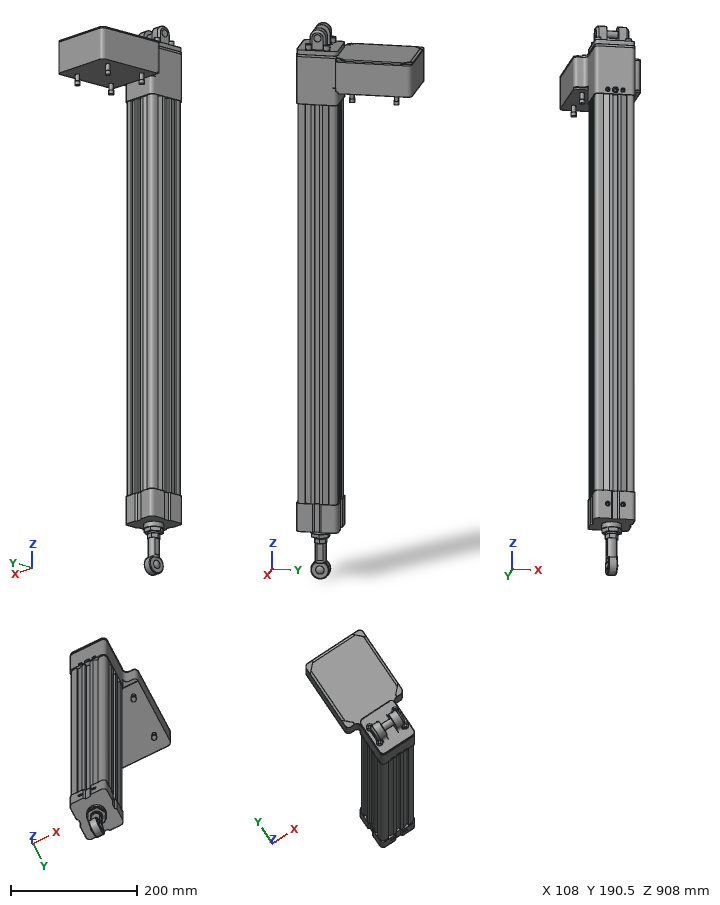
import cadquery as cq
import math


TOTAL_HEIGHT = 908.0
COVER_TOP = 869.0
COVER_BOTTOM = 866.0
HEAD_BOTTOM = 787.5
BOX_BOTTOM = 814.0
CAP_TOP = 130.0
CAP_BOTTOM = 84.0

TUBE_WIDTH = 64.0
HEAD_WIDTH_X = 65.0
HEAD_WIDTH_Y = 67.0
CORNER_RADIUS = 6.8

SLOT_WIDTH = 8.0
SLOT_DEPTH = 4.5
GROOVE_INNER = 9.5
GROOVE_OUTER = 19.0
GROOVE_DEPTH = 4.0

BOX_WIDTH = 108.0
BOX_FRONT = HEAD_WIDTH_Y / 2
BOX_BACK = 157.0
NECK_RADIUS = 7.7
FRONT_RELIEF = 5.0
RELIEF_HEIGHT = 3.0

RIM_INSET = 4.1
RIM_HEIGHT = 1.4
CORNER_SEAT = 17.0

HEAD_HOLE_Z = 795.0
HEAD_HOLE_DIAMETER = 9.0
HEAD_HOLE_BORE = 5.1
SIDE_HOLE_DIAMETER = 6.5
SIDE_HOLE_BORE = 4.2
SIDE_HOLE_X = 12.3
CAP_HOLE_Z = 108.0
CAP_HOLE_DIAMETER = 7.2
CAP_HOLE_BORE = 4.2
RECESS_DEPTH = 3.0
HOLE_DEPTH = 5.0

SCREW_X = 36.0
SCREW_FRONT_Y = 58.0
SCREW_BACK_Y = 130.0
SCREW_DIAMETER = 7.2
SCREW_HEAD_DIAMETER = 8.5
SCREW_HEAD_HEIGHT = 6.0
SCREW_REACH = 17.0
SCREW_ENGAGEMENT = 9.0

PLATE_TOP = 876.5
PLATE_INSET = 0.45
LUG_RADIUS = 13.0
LUG_INNER_X = 9.5
LUG_OUTER_X = 26.0
LUG_CHAMFER = 4.0
LUG_FOOT_RADIUS = 4.5
LUG_FOOT_END_X = 18.0
PIN_DIAMETER = 12.0
PIN_Z = TOTAL_HEIGHT - LUG_RADIUS
BOLT_X = 24.5
BOLT_Y = 14.5
BOLT_HEAD_DIAMETER = 10.0
BOLT_HEAD_HEIGHT = 8.0
BOLT_SOCKET_DIAMETER = 5.0
BOLT_SOCKET_DEPTH = 4.0

CAP_SLOT_MOUTH = 14.0
CAP_SLOT_FLOOR = 8.0
CAP_SLOT_DEPTH = 3.0
NOSE_DIAMETER = 32.0
NOSE_BOTTOM = 75.0
GLAND_BOTTOM = 69.0
GLAND_FLATS = 27.0

ROD_DIAMETER = 20.0
NUT_TOP = 66.0
NUT_BOTTOM = 59.0
NUT_FLATS = 18.0
SHANK_DIAMETER = 18.0
SHANK_BOTTOM = 26.0
SHANK_FLATS = 15.0
FLATS_BOTTOM = 31.0
FLATS_TOP = 58.0
EYE_RADIUS = 15.0
EYE_THICKNESS = 14.5
EYE_CHAMFER = 1.4
BALL_RADIUS = 10.0


def rounded_block(width_x, width_y, bottom, top):
    """Block on the axis with rounded upright corners."""
    block = cq.Workplane("XY").workplane(offset=bottom).rect(width_x, width_y).extrude(top - bottom)
    return block.edges("|Z").fillet(CORNER_RADIUS)


def cylinder(diameter, bottom, top, x=0.0, y=0.0):
    """Upright cylinder between two heights."""
    return cq.Workplane("XY", origin=(x, y, bottom)).circle(diameter / 2).extrude(top - bottom)


def hexagon(flats, bottom, top):
    """Upright hexagonal prism on the axis, two of its flats facing front and back."""
    across_corners = flats / math.cos(math.pi / 6)
    return cq.Workplane("XY").workplane(offset=bottom).polygon(6, across_corners).extrude(top - bottom)


def front_holes(diameter, bore, face_y, z, x_places):
    """Cutters for stepped blind holes in a front face: a wide recess with a narrower bore."""
    places = [(x, 0) for x in x_places]
    recess_end = cq.Workplane("XZ", origin=(0, face_y + RECESS_DEPTH, z))
    bore_end = cq.Workplane("XZ", origin=(0, face_y + HOLE_DEPTH, z))
    recesses = recess_end.pushPoints(places).circle(diameter / 2).extrude(RECESS_DEPTH)
    return recesses.union(bore_end.pushPoints(places).circle(bore / 2).extrude(HOLE_DEPTH))


def on_four_sides(body, cutter):
    """Cut the same shape from the front, the back and both sides."""
    for quarter in range(4):
        body = body.cut(cutter.rotate((0, 0, 0), (0, 0, 1), 90 * quarter))
    return body


def make_tube():
    """Extruded profile with one square slot and two sloping grooves on each side."""
    tube = rounded_block(TUBE_WIDTH, TUBE_WIDTH, CAP_TOP, HEAD_BOTTOM)
    face = -TUBE_WIDTH / 2
    length = HEAD_BOTTOM - CAP_TOP
    start = cq.Workplane("XY").workplane(offset=CAP_TOP)
    slot = start.center(0, face).rect(SLOT_WIDTH, 2 * SLOT_DEPTH).extrude(length)
    tube = on_four_sides(tube, slot)
    for side in (-1, 1):
        groove = start.polyline([
            (side * GROOVE_INNER, face),
            (side * GROOVE_OUTER, face),
            (side * GROOVE_OUTER, face + GROOVE_DEPTH),
        ]).close().extrude(length)
        tube = on_four_sides(tube, groove)
    return tube


def box_block(bottom, top):
    """Block with the outline of the belt box."""
    box_length = BOX_BACK - BOX_FRONT
    return (
        cq.Workplane("XY", origin=(0, BOX_FRONT + box_length / 2, bottom))
        .rect(BOX_WIDTH, box_length).extrude(top - bottom)
        .edges("|Z").fillet(CORNER_RADIUS)
    )


def neck_block(bottom, top):
    """Neck with concave sides that blends the belt box into the head."""
    wall_x = HEAD_WIDTH_X / 2
    flare_x = wall_x + NECK_RADIUS
    neck_y = BOX_FRONT - NECK_RADIUS
    return (
        cq.Workplane("XY", origin=(0, 0, bottom))
        .moveTo(-flare_x, BOX_FRONT + FRONT_RELIEF)
        .lineTo(-flare_x, BOX_FRONT)
        .radiusArc((-wall_x, neck_y), NECK_RADIUS)
        .lineTo(wall_x, neck_y)
        .radiusArc((flare_x, BOX_FRONT), NECK_RADIUS)
        .lineTo(flare_x, BOX_FRONT + FRONT_RELIEF)
        .close().extrude(top - bottom)
    )


def make_housing():
    """Tube head and belt box in one piece, below the cover."""
    relief_top = BOX_BOTTOM + RELIEF_HEIGHT
    box = box_block(BOX_BOTTOM, COVER_BOTTOM)
    relief = cq.Workplane("XY").box(BOX_WIDTH, FRONT_RELIEF, RELIEF_HEIGHT, centered=(True, False, False))
    box = box.cut(relief.translate((0, BOX_FRONT, BOX_BOTTOM)))
    housing = box.union(neck_block(relief_top, COVER_BOTTOM))
    housing = housing.union(rounded_block(HEAD_WIDTH_X, HEAD_WIDTH_Y, HEAD_BOTTOM, COVER_BOTTOM))

    face_y = -HEAD_WIDTH_Y / 2
    side_places = [-SIDE_HOLE_X, SIDE_HOLE_X]
    housing = housing.cut(front_holes(HEAD_HOLE_DIAMETER, HEAD_HOLE_BORE, face_y, HEAD_HOLE_Z, [0]))
    housing = housing.cut(
        front_holes(SIDE_HOLE_DIAMETER, SIDE_HOLE_BORE, face_y, HEAD_HOLE_Z, side_places)
    )
    for screw in screws:
        housing = housing.cut(screw)
    return housing


def make_motor_screw(x, y):
    """Cap screw hanging from the underside of the belt box, head down."""
    head_bottom = BOX_BOTTOM - SCREW_REACH
    head_top = head_bottom + SCREW_HEAD_HEIGHT
    shaft = cylinder(SCREW_DIAMETER, head_top, BOX_BOTTOM + SCREW_ENGAGEMENT, x, y)
    return shaft.union(cylinder(SCREW_HEAD_DIAMETER, head_bottom, head_top, x, y))


def make_lug():
    """Right-hand clevis lug: round top, flared foot, bevelled outer rim."""
    thickness = LUG_OUTER_X - LUG_INNER_X
    lug = (
        cq.Workplane("YZ", origin=(LUG_INNER_X, 0, 0))
        .moveTo(-LUG_RADIUS, PLATE_TOP)
        .lineTo(-LUG_RADIUS, PIN_Z)
        .threePointArc((0, TOTAL_HEIGHT), (LUG_RADIUS, PIN_Z))
        .lineTo(LUG_RADIUS, PLATE_TOP)
        .close().extrude(thickness)
    )
    lug = lug.faces(">X").edges("not <Z").chamfer(LUG_CHAMFER)
    foot_width = LUG_RADIUS + LUG_FOOT_RADIUS
    foot_top = PLATE_TOP + LUG_FOOT_RADIUS
    foot = (
        cq.Workplane("YZ", origin=(LUG_INNER_X, 0, 0))
        .moveTo(-foot_width, PLATE_TOP)
        .radiusArc((-LUG_RADIUS, foot_top), -LUG_FOOT_RADIUS)
        .lineTo(LUG_RADIUS, foot_top)
        .radiusArc((foot_width, PLATE_TOP), -LUG_FOOT_RADIUS)
        .close().extrude(LUG_FOOT_END_X - LUG_INNER_X)
    )
    return lug.union(foot)


def make_cover():
    """Cover over the belt box and the head, with a bevelled rim and corner seats."""
    cover = box_block(COVER_BOTTOM, COVER_TOP)
    cover = cover.faces(">Z").chamfer(RIM_HEIGHT, RIM_INSET)
    for side in (-1, 1):
        for corner_y, inward in ((BOX_FRONT, 1), (BOX_BACK, -1)):
            corner_x = side * BOX_WIDTH / 2
            seat = (
                cq.Workplane("XY", origin=(0, 0, COVER_TOP - RIM_HEIGHT))
                .moveTo(corner_x, corner_y)
                .lineTo(corner_x - side * CORNER_SEAT, corner_y)
                .lineTo(corner_x, corner_y + inward * CORNER_SEAT)
                .close().extrude(RIM_HEIGHT)
            )
            cover = cover.cut(seat)
    cover = cover.union(neck_block(COVER_BOTTOM, COVER_TOP))
    return cover.union(rounded_block(HEAD_WIDTH_X, HEAD_WIDTH_Y, COVER_BOTTOM, COVER_TOP))


def make_clevis():
    """Rear clevis: cover in one piece with a plate, two lugs and four socket bolt heads."""
    plate_x = HEAD_WIDTH_X - 2 * PLATE_INSET
    plate_y = HEAD_WIDTH_Y - 2 * PLATE_INSET
    clevis = make_cover().union(rounded_block(plate_x, plate_y, COVER_TOP, PLATE_TOP))
    lug = make_lug()
    clevis = clevis.union(lug).union(lug.mirror("YZ"))
    bolt_top = PLATE_TOP + BOLT_HEAD_HEIGHT
    for x in (-BOLT_X, BOLT_X):
        for y in (-BOLT_Y, BOLT_Y):
            head = cylinder(BOLT_HEAD_DIAMETER, PLATE_TOP, bolt_top, x, y)
            socket = cylinder(BOLT_SOCKET_DIAMETER, bolt_top - BOLT_SOCKET_DEPTH, bolt_top, x, y)
            clevis = clevis.union(head.cut(socket))
    return clevis.cut(pin)


def make_pin():
    """Clevis pin, flush with the outer faces of the lugs."""
    start = cq.Workplane("YZ", origin=(-LUG_OUTER_X, 0, PIN_Z))
    return start.circle(PIN_DIAMETER / 2).extrude(2 * LUG_OUTER_X)


def make_front_cap():
    """Slotted end cap with a round nose and a hexagonal gland around the rod."""
    cap = rounded_block(HEAD_WIDTH_X, HEAD_WIDTH_Y, CAP_BOTTOM, CAP_TOP)
    start = cq.Workplane("XY").workplane(offset=CAP_BOTTOM)
    for quarter in range(4):
        face = -(HEAD_WIDTH_X if quarter % 2 else HEAD_WIDTH_Y) / 2
        slot = start.polyline([
            (-CAP_SLOT_MOUTH / 2, face),
            (-CAP_SLOT_FLOOR / 2, face + CAP_SLOT_DEPTH),
            (CAP_SLOT_FLOOR / 2, face + CAP_SLOT_DEPTH),
            (CAP_SLOT_MOUTH / 2, face),
        ]).close().extrude(CAP_TOP - CAP_BOTTOM)
        cap = cap.cut(slot.rotate((0, 0, 0), (0, 0, 1), 90 * quarter))
    side_places = [-SIDE_HOLE_X, SIDE_HOLE_X]
    cap = cap.cut(
        front_holes(CAP_HOLE_DIAMETER, CAP_HOLE_BORE, -HEAD_WIDTH_Y / 2, CAP_HOLE_Z, side_places)
    )
    cap = cap.union(cylinder(NOSE_DIAMETER, NOSE_BOTTOM, CAP_BOTTOM))
    cap = cap.union(hexagon(GLAND_FLATS, GLAND_BOTTOM, NOSE_BOTTOM))
    return cap.cut(cylinder(ROD_DIAMETER, GLAND_BOTTOM, CAP_TOP))


def make_rod():
    """Rod with a hexagonal nut, a flatted shank and a ball eye at its lower end."""
    rod = cylinder(ROD_DIAMETER, NUT_TOP, CAP_TOP).union(hexagon(NUT_FLATS, NUT_BOTTOM, NUT_TOP))
    shank = cylinder(SHANK_DIAMETER, SHANK_BOTTOM, NUT_BOTTOM)
    flats_height = FLATS_TOP - FLATS_BOTTOM
    for side in (-1, 1):
        flat_x = side * (SHANK_FLATS + SHANK_DIAMETER) / 2
        flat = cq.Workplane("XY", origin=(flat_x, 0, FLATS_BOTTOM)).rect(SHANK_DIAMETER, SHANK_DIAMETER)
        shank = shank.cut(flat.extrude(flats_height))
    eye = (
        cq.Workplane("YZ", origin=(-EYE_THICKNESS / 2, 0, EYE_RADIUS))
        .circle(EYE_RADIUS).extrude(EYE_THICKNESS)
        .faces("<X or >X").chamfer(EYE_CHAMFER)
    )
    ball_plane = cq.Plane(origin=(0, 0, EYE_RADIUS), xDir=(0, 0, 1), normal=(0, 1, 0))
    ball = cq.Workplane(ball_plane).sphere(BALL_RADIUS)
    return rod.union(shank).union(eye).union(ball)


screws = [make_motor_screw(x, y) for x in (-SCREW_X, SCREW_X) for y in (SCREW_FRONT_Y, SCREW_BACK_Y)]
pin = make_pin()
tube = make_tube()
housing = make_housing()
clevis = make_clevis()
front_cap = make_front_cap()
rod = make_rod()

result = cq.Compound.makeCompound([
    tube.val(),
    housing.val(),
    clevis.val(),
    pin.val(),
    front_cap.val(),
    rod.val(),
    *[screw.val() for screw in screws],
])